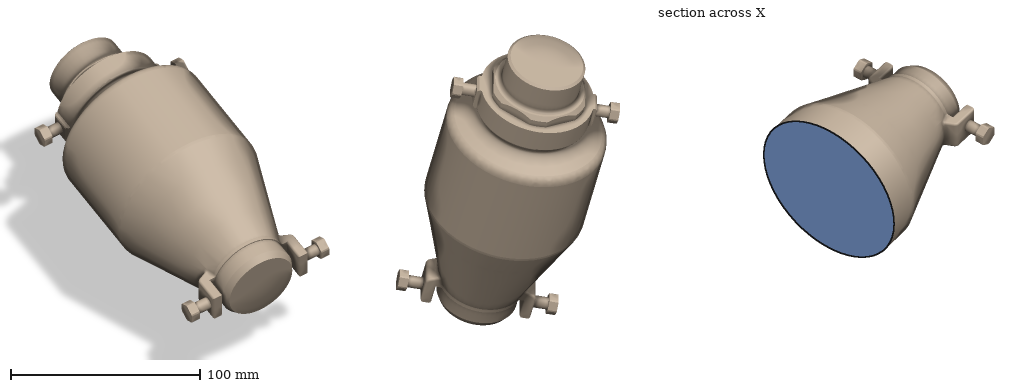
import cadquery as cq
import math

TOTAL_LENGTH = 177.0

INLET_RADIUS = 21.0
INLET_CHAMFER_LENGTH = 1.0
INLET_CHAMFER_DEPTH = 1.5
INLET_ROOT_FILLET = 1.8

NUT_START = 17.3
NUT_ACROSS_FLATS = 49.5
NUT_CORNER_RADIUS = 26.4
NUT_CHAMFER = 2.1

COLLAR_START = 23.2
COLLAR_END = 36.8
COLLAR_DIAMETER = 61.5
COLLAR_RADIUS = COLLAR_DIAMETER / 2
COLLAR_FILLET = 1.0
NECK_RADIUS = 27.6
NECK_END = 40.9
NECK_FILLET = 0.9

SHELL_DIAMETER = 86.9
SHELL_RADIUS = SHELL_DIAMETER / 2
SHELL_FILLET = 5.3
FRONT_CONE_ANGLE = 22.0
REAR_CONE_START = 105.1
REAR_CONE_END = 162.7
REAR_RIM_RADIUS = 22.5
REAR_RIM_END = 164.8

OUTLET_RADIUS = 21.8
OUTLET_CHAMFER_LENGTH = 3.7
OUTLET_CHAMFER_DEPTH = 2.1

BOLT_SHANK_DIAMETER = 6.5
BOLT_ACROSS_FLATS = 10.1
BOLT_CORNER_DIAMETER = 11.2
BOLT_HEAD_HEIGHT = 5.0
INLET_BOLT_X = 29.0
INLET_BOLT_TIP = 45.0
OUTLET_BOLT_X = 171.7
OUTLET_BOLT_TIP = 43.0

PAD_LENGTH = 12.7
PAD_WIDTH = 11.5
PAD_TOP = 32.5
PAD_END_CHAMFER = 1.2
PAD_SIDE_CHAMFER = 0.5

LUG_WIDTH = 16.8
LUG_TOP = 29.7
LUG_THICKNESS = 5.8
LUG_TOP_START = 161.5
LUG_LEG_SLOPE = 65.0
LUG_ROOT = 19.5
LUG_BEND_RADIUS = 2.8
LUG_EDGE_FILLET = 1.2
LUG_ROOT_FILLET = 1.6

TOLERANCE = 0.02


def fillet_ring(body, x, ring_radius, fillet_radius):
    """Fillet the circular edge of the given radius at station x."""
    def is_ring(edge):
        return abs(edge.Center().x - x) < TOLERANCE and abs(edge.radius() - ring_radius) < TOLERANCE

    return body.edges("%CIRCLE").filter(is_ring).fillet(fillet_radius)


def turned_hexagon(across_flats, corner_radius, height):
    """Hexagon prism along Z with flats facing X and its corners turned down to a cylinder."""
    hexagon = cq.Workplane("XY").polygon(6, across_flats, circumscribed=True).extrude(height)
    return hexagon.intersect(cq.Workplane("XY").circle(corner_radius).extrude(height))


def make_body():
    """Turned body from the inlet face to the outlet face."""
    front_cone_end = NECK_END + (SHELL_RADIUS - NECK_RADIUS) * math.tan(math.radians(FRONT_CONE_ANGLE))
    outline = [
        (0, 0),
        (0, INLET_RADIUS - INLET_CHAMFER_DEPTH),
        (INLET_CHAMFER_LENGTH, INLET_RADIUS),
        (COLLAR_START, INLET_RADIUS),
        (COLLAR_START, COLLAR_RADIUS),
        (COLLAR_END, COLLAR_RADIUS),
        (COLLAR_END, NECK_RADIUS),
        (NECK_END, NECK_RADIUS),
        (front_cone_end, SHELL_RADIUS),
        (REAR_CONE_START, SHELL_RADIUS),
        (REAR_CONE_END, REAR_RIM_RADIUS),
        (REAR_RIM_END, REAR_RIM_RADIUS),
        (REAR_RIM_END, OUTLET_RADIUS),
        (TOTAL_LENGTH - OUTLET_CHAMFER_LENGTH, OUTLET_RADIUS),
        (TOTAL_LENGTH, OUTLET_RADIUS - OUTLET_CHAMFER_DEPTH),
        (TOTAL_LENGTH, 0),
    ]
    body = cq.Workplane("XY").polyline(outline).close().revolve(360, (0, 0, 0), (1, 0, 0))
    body = fillet_ring(body, COLLAR_END, COLLAR_RADIUS, COLLAR_FILLET)
    body = fillet_ring(body, COLLAR_END, NECK_RADIUS, NECK_FILLET)
    body = fillet_ring(body, NECK_END, NECK_RADIUS, NECK_FILLET)
    body = fillet_ring(body, front_cone_end, SHELL_RADIUS, SHELL_FILLET)
    return fillet_ring(body, REAR_CONE_START, SHELL_RADIUS, SHELL_FILLET)


def make_nut():
    """Nut with flats facing +Y and -Y and a conical chamfer on its front."""
    length = COLLAR_START - NUT_START
    nut = turned_hexagon(NUT_ACROSS_FLATS, NUT_CORNER_RADIUS, length)
    envelope = cq.Workplane("XY").circle(NUT_CORNER_RADIUS).extrude(length).faces("<Z").chamfer(NUT_CHAMFER)
    nut = nut.intersect(envelope).rotate((0, 0, 0), (0, 0, 1), 90)
    return nut.rotate((0, 0, 0), (0, 1, 0), 90).translate((NUT_START, 0, 0))


def make_inlet_root_fillet():
    """Concave ring that blends the inlet pipe into the nut face."""
    return (
        cq.Workplane("XY")
        .moveTo(NUT_START - INLET_ROOT_FILLET, INLET_RADIUS)
        .radiusArc((NUT_START, INLET_RADIUS + INLET_ROOT_FILLET), -INLET_ROOT_FILLET)
        .lineTo(NUT_START, INLET_RADIUS)
        .close()
        .revolve(360, (0, 0, 0), (1, 0, 0))
    )


def make_bolt(x, base, tip):
    """Bolt along -Y whose shank starts at distance base from the axis."""
    shank = cq.Workplane("XY").workplane(offset=base).circle(BOLT_SHANK_DIAMETER / 2).extrude(tip - base)
    head = turned_hexagon(BOLT_ACROSS_FLATS, BOLT_CORNER_DIAMETER / 2, BOLT_HEAD_HEIGHT)
    head = head.translate((0, 0, tip - BOLT_HEAD_HEIGHT))
    return shank.union(head).rotate((0, 0, 0), (1, 0, 0), 90).translate((x, 0, 0))


def make_pad():
    """Flat seat on the -Y side of the collar, chamfered on all four outer edges."""
    pad = cq.Workplane("XY").box(PAD_LENGTH, PAD_TOP, PAD_WIDTH, centered=(False, False, True))
    pad = pad.translate((COLLAR_START, -PAD_TOP, 0))
    pad = pad.faces("<Y").edges("|Z").chamfer(PAD_END_CHAMFER)
    return pad.faces("<Y").edges("|X").chamfer(PAD_SIDE_CHAMFER)


def make_lug():
    """Cranked lug on the -Y side: sloping leg on the cone, plate over the outlet."""
    root_start = LUG_TOP_START - (LUG_TOP - LUG_ROOT) / math.tan(math.radians(LUG_LEG_SLOPE))
    underside = LUG_TOP - LUG_THICKNESS
    lug = (
        cq.Workplane("XY")
        .moveTo(root_start, -LUG_ROOT)
        .lineTo(LUG_TOP_START, -LUG_TOP)
        .lineTo(TOTAL_LENGTH, -LUG_TOP)
        .lineTo(TOTAL_LENGTH, -underside)
        .lineTo(REAR_RIM_END, -underside)
        .lineTo(REAR_RIM_END, -LUG_ROOT)
        .close()
        .extrude(LUG_WIDTH / 2, both=True)
    )
    bend = lug.edges(cq.selectors.NearestToPointSelector((LUG_TOP_START, -LUG_TOP, 0)))
    lug = bend.fillet(LUG_BEND_RADIUS)
    lug = lug.faces("<Y").edges("not(<X)").fillet(LUG_EDGE_FILLET)
    plate_underside = lug.faces(cq.selectors.NearestToPointSelector((OUTLET_BOLT_X, -underside, 0)))
    return plate_underside.edges("not(<X)").fillet(LUG_EDGE_FILLET)


def both_sides(feature):
    """The feature together with its mirror image on the +Y side."""
    return feature.union(feature.mirror("XZ"))


def fillet_lug_roots(body):
    """Fillet the seams where the fronts and sides of the lugs meet the rear cone and its rim."""
    def is_seam(edge):
        center = edge.Center()
        within_width = abs(center.z) < LUG_WIDTH / 2 + TOLERANCE
        on_shell = REAR_CONE_START < center.x < REAR_RIM_END - TOLERANCE
        below_plate = abs(center.y) < LUG_TOP - LUG_THICKNESS
        return within_width and on_shell and below_plate and edge.geomType() != "CIRCLE"

    return body.edges().filter(is_seam).fillet(LUG_ROOT_FILLET)


result = make_body().union(make_nut()).union(make_inlet_root_fillet())
result = fillet_lug_roots(result.union(both_sides(make_lug())))
result = result.union(both_sides(make_pad()))
result = result.union(both_sides(make_bolt(INLET_BOLT_X, COLLAR_RADIUS, INLET_BOLT_TIP)))
result = result.union(both_sides(make_bolt(OUTLET_BOLT_X, LUG_TOP - LUG_THICKNESS / 2, OUTLET_BOLT_TIP)))